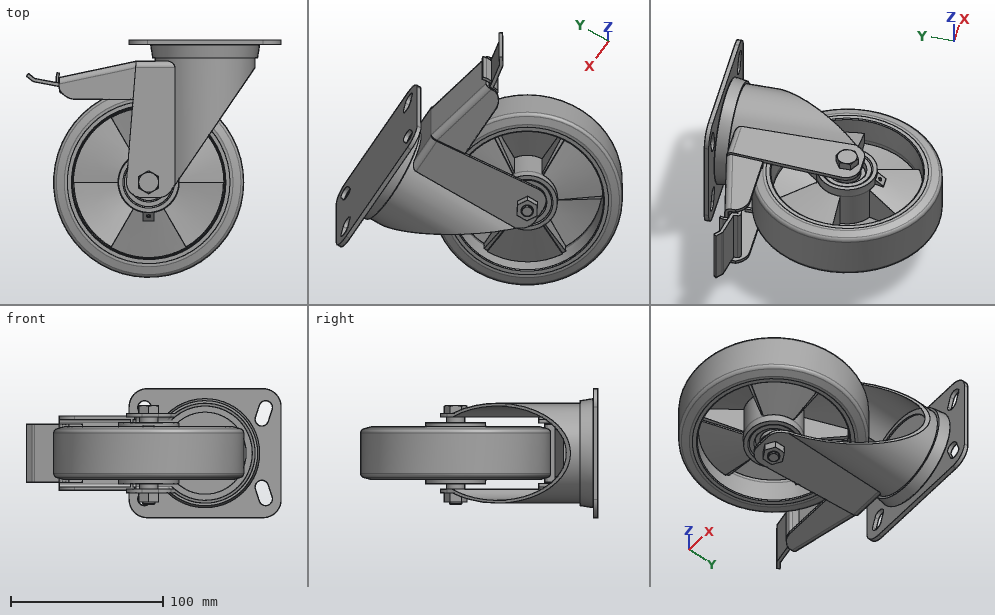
import cadquery as cq
import math


swivel_x = 37.11

plate_length = 100.0
plate_width = 85.0
plate_top = 93.5
plate_thickness = 3.0
plate_bottom = plate_top - plate_thickness
plate_corner = 12.0
slot_width = 8.7
slot_length = 17.0
slot_dx = 38.5
slot_dz = 26.1
slot_tilt = 18.0

cup_bottom = 81.8
cup_top = 90.1
cup_top_radius = 35.9
cup_bottom_radius = 34.5
cup_neck_radius = 34.9

column_radius = 32.8
column_bore = 62.0
ceiling_recess = 54.0
ceiling_recess_depth = 1.0
leg_outer = 26.1
leg_thickness = 2.5
leg_inner = leg_outer - leg_thickness
leg_top = 79.6
leg_bottom = -10.0
leg_corner = 10.0
sheet_bend = 4.2

cover_outer = 24.5
cover_thickness = 2.2
cover_bottom = 54.5
cover_tip_x = -58.8
cover_tip_y = 68.9
cover_corner = 11.7
cover_corner_length = 10.0
cover_corner_height = 7.2
leg_edge_top_x = -8.2
leg_edge_bottom_x = -15.4

pedal_half_width = 19.1
pedal_thickness = 2.3

tyre_radius = 62.5
wheel_half_width = 17.5
rim_radius = 53.5
rim_lip_radius = 50.8
rim_waist_radius = 49.1
rim_lip_bevel = 0.7
hub_half_width = 20.1
hub_radius = 20.1
disc_hub_near = 14.2
disc_rim_near = 5.7
disc_hub_far = 10.9
disc_rim_far = 2.8
sector_angle = 60.0
disc_overlap = 0.8
disc_inner_radius = hub_radius - disc_overlap
disc_outer_radius = rim_waist_radius + disc_overlap
sleeve_diameter = 12.0
sleeve_shoulder_diameter = 18.0
sleeve_shoulder_half_width = 20.0
bolt_diameter = 8.0
hex_flats = 13.0
head_height = 5.2
nut_height = 6.0
bolt_tip_length = 1.7
bolt_tip_chamfer = 0.7


def round_bar(diameter, z_low, z_high):
    """Cylinder on the wheel axle."""
    return cq.Workplane("XY").workplane(offset=z_low).circle(diameter / 2).extrude(z_high - z_low)


def turned(profile, angle=360):
    """Solid of revolution about the wheel axle, from (radius, z) points."""
    return cq.Workplane("XZ").polyline(profile).close().revolve(angle, (0, 0, 0), (0, 1, 0))


def swivel_disc(radius, y_low, y_high):
    """Cylinder on the swivel axis."""
    base = cq.Workplane("XZ", origin=(swivel_x, y_low, 0))
    return base.circle(radius).extrude(y_low - y_high)


def channel(length, depth, half_width, thickness):
    """Folded U-channel along +X, open downwards, with its top face on Y = 0."""
    outer = cq.Workplane("XY").box(length, depth, 2 * half_width).translate((length / 2, -depth / 2, 0))
    outer = outer.edges("|X and >Y").fillet(sheet_bend)
    gap = cq.Workplane("XY").box(length, depth, 2 * (half_width - thickness))
    gap = gap.translate((length / 2, -depth / 2 - thickness, 0))
    gap = gap.edges("|X and >Y").fillet(sheet_bend - thickness)
    return outer.cut(gap)


def bent_strip(centre_line, thickness, half_width):
    """Sheet of even thickness along an open centre line in XY, reaching half_width to both sides in Z."""
    directions = []
    for (x0, y0), (x1, y1) in zip(centre_line, centre_line[1:]):
        directions.append(math.atan2(y1 - y0, x1 - x0))
    before = [directions[0]] + directions
    after = directions + [directions[-1]]
    left_side = []
    right_side = []
    for (x, y), a, b in zip(centre_line, before, after):
        normal = (a + b) / 2 + math.pi / 2
        reach = thickness / 2 / math.cos((a - b) / 2)
        left_side.append((x + reach * math.cos(normal), y + reach * math.sin(normal)))
        right_side.append((x - reach * math.cos(normal), y - reach * math.sin(normal)))
    outline = cq.Workplane("XY").polyline(left_side + right_side[::-1]).close()
    return outline.extrude(half_width, both=True)


def make_plate():
    base = cq.Workplane("XZ", origin=(swivel_x, plate_bottom, 0))
    plate = base.rect(plate_length, plate_width).extrude(-plate_thickness)
    plate = plate.edges("|Y").fillet(plate_corner)
    for side_x in (-1, 1):
        for side_z in (-1, 1):
            tilt = 90 - side_x * side_z * slot_tilt
            slot = base.center(side_x * slot_dx, side_z * slot_dz)
            plate = plate.cut(slot.slot2D(slot_length, slot_width, tilt).extrude(-plate_thickness))
    return plate


def make_swivel_cup():
    profile = [
        (0, cup_bottom),
        (cup_bottom_radius, cup_bottom),
        (cup_top_radius, cup_top),
        (cup_neck_radius, cup_top),
        (cup_neck_radius, plate_bottom),
        (0, plate_bottom),
    ]
    cup = cq.Workplane("XY").polyline(profile).close().revolve(360, (0, 0, 0), (0, 1, 0))
    return cup.translate((swivel_x, 0, 0))


def make_fork():
    height = cup_bottom - leg_bottom
    legs = channel(swivel_x - leg_edge_bottom_x, leg_top - leg_bottom, leg_outer, leg_thickness)
    legs = legs.translate((leg_edge_bottom_x, leg_top, 0))
    column = swivel_disc(column_radius, leg_bottom, cup_bottom)

    ceiling = leg_top - leg_thickness
    bore = swivel_disc(column_bore / 2, leg_bottom, ceiling)
    recess = swivel_disc(ceiling_recess / 2, leg_bottom, ceiling + ceiling_recess_depth)
    passage = cq.Workplane("XY").box(swivel_x, height, 2 * leg_inner)
    passage = passage.edges("|X and >Y").fillet(sheet_bend - leg_thickness)
    passage = passage.translate((swivel_x / 2, ceiling - height / 2, 0))

    rear_x = swivel_x + column_radius
    rear_corner_y = 75.4
    leg_end_rear_x = 11.7
    side = cq.Workplane("XY").polyline([
        (leg_edge_top_x, cup_bottom),
        (leg_edge_top_x, leg_top),
        (leg_edge_bottom_x, leg_bottom),
        (leg_end_rear_x, leg_bottom),
        (rear_x, rear_corner_y),
        (rear_x, cup_bottom),
    ]).close().extrude(column_radius, both=True)
    side = side.edges("|Z and <Y").fillet(leg_corner)

    fork = legs.union(column).cut(bore).cut(recess).cut(passage).intersect(side)
    fork = fork.union(make_brake_cover())
    return fork.cut(round_bar(bolt_diameter, -leg_outer, leg_outer))


def make_brake_cover():
    blank_length = 67.0
    blank_depth = 33.5
    overrun = 5.0
    slope = math.degrees(math.atan2(leg_top - cover_tip_y, leg_edge_top_x - cover_tip_x))
    cover = channel(blank_length, blank_depth, cover_outer, cover_thickness).translate((-overrun, 0, 0))
    cover = cover.rotate((0, 0, 0), (0, 0, 1), slope).translate((cover_tip_x, cover_tip_y, 0))

    rear_bottom_x = -9.2
    side = cq.Workplane("XY").moveTo(cover_tip_x, leg_top).lineTo(leg_edge_top_x, leg_top)
    side = side.lineTo(rear_bottom_x, cover_bottom).lineTo(cover_tip_x + cover_corner_length, cover_bottom)
    side = side.radiusArc((cover_tip_x, cover_bottom + cover_corner_height), cover_corner).close()
    cover = cover.intersect(side.extrude(cover_outer, both=True))

    flange_width = 2.5
    flange_height = 11.7
    flange_thickness = 1.8
    flange_x = -11.0
    for side_z in (-1, 1):
        flange = cq.Workplane("XY").box(flange_thickness, flange_height, flange_width)
        flange_z = side_z * (cover_outer - cover_thickness - flange_width / 2)
        cover = cover.union(flange.translate((flange_x, cover_bottom + flange_height / 2, flange_z)))
    return cover


def make_pedal():
    tip = (-79.67, 70.62)
    elbow = (-75.4, 67.2)
    plate_end = (-57.6, 63.8)
    fold_front = (-57.3, 59.6)
    fold_back = (-53.8, 59.6)
    tongue_start = (-53.3, 66.2)
    tongue_step = (-43.7, 68.2)
    tongue_end = (-24.6, 72.0)
    tongue_half_width = 15.4
    elbow_radius = 3.7
    fold_radius = 1.8
    centre_line = [tip, elbow, plate_end, fold_front, fold_back, tongue_start, tongue_step]
    pedal = bent_strip(centre_line, pedal_thickness, pedal_half_width)
    pedal = pedal.edges(cq.selectors.NearestToPointSelector((elbow[0], elbow[1] - pedal_thickness, 0)))
    pedal = pedal.fillet(elbow_radius).edges("|Z and <Y").fillet(fold_radius)
    pedal = pedal.union(bent_strip([tongue_start, tongue_end], pedal_thickness, tongue_half_width))

    lip_foot = (-59.8, 64.2)
    lip_bend = (-59.8, 69.4)
    lip_top = (-59.3, 71.9)
    lip_thickness = 1.8
    lip_half_width = 16.1
    return pedal.union(bent_strip([lip_foot, lip_bend, lip_top], lip_thickness, lip_half_width))


def make_tyre():
    face_radius = 55.5
    shoulder_radius = 60.7
    shoulder_z = 16.0
    tread_z = 13.4
    shoulder_round = 3.0
    w = wheel_half_width
    tyre = cq.Workplane("XZ").moveTo(rim_radius, -w).lineTo(face_radius, -w)
    tyre = tyre.lineTo(shoulder_radius, -shoulder_z)
    tyre = tyre.radiusArc((tyre_radius, -tread_z), -shoulder_round).lineTo(tyre_radius, tread_z)
    tyre = tyre.radiusArc((shoulder_radius, shoulder_z), -shoulder_round)
    tyre = tyre.lineTo(face_radius, w).lineTo(rim_radius, w).close()
    return tyre.revolve(360, (0, 0, 0), (0, 1, 0))


def make_rim():
    w = wheel_half_width
    rim = turned([
        (rim_waist_radius, 0),
        (rim_lip_radius - rim_lip_bevel, rim_lip_bevel - w),
        (rim_lip_radius, -w),
        (rim_radius, -w),
        (rim_radius, w),
        (rim_lip_radius, w),
        (rim_lip_radius - rim_lip_bevel, w - rim_lip_bevel),
    ])
    rim = rim.union(make_hub())

    domed = make_disc_sector().union(make_sector_walls())
    dished = make_disc_sector().rotate((0, 0, 0), (1, 0, 0), 180)
    for pair in range(3):
        for sector in (domed, dished):
            rim = rim.union(sector.rotate((0, 0, 0), (0, 0, 1), 2 * sector_angle * pair))
    return rim.union(make_hub_lug())


def make_disc_sector():
    """One sixth of the wheel disc, from +X on, domed to +Z."""
    return turned([
        (disc_inner_radius, disc_hub_near),
        (disc_outer_radius, disc_rim_near),
        (disc_outer_radius, disc_rim_far),
        (disc_inner_radius, disc_hub_far),
    ], sector_angle)


def make_sector_walls():
    """Walls along both radial borders of a domed sector, down into the dished sectors beside it."""
    wall_angle = 3.0
    first_wall = turned([
        (disc_inner_radius, disc_hub_near),
        (disc_outer_radius, disc_rim_near),
        (disc_outer_radius, -(disc_rim_near + disc_rim_far) / 2),
        (disc_inner_radius, -(disc_hub_near + disc_hub_far) / 2),
    ], wall_angle)
    return first_wall.union(first_wall.rotate((0, 0, 0), (0, 0, 1), sector_angle - wall_angle))


def make_hub():
    face_radius = 19.8
    lip_radius = 17.0
    seat_radius = 32.0 / 2
    seat_z = 19.5
    recess_radius = 25.8 / 2
    recess_floor_radius = 24.0 / 2
    recess_floor_z = 16.0
    bore_radius = sleeve_shoulder_diameter / 2
    half = [
        (bore_radius, recess_floor_z),
        (recess_floor_radius, recess_floor_z),
        (recess_radius, seat_z),
        (seat_radius, seat_z),
        (lip_radius, hub_half_width),
        (face_radius, hub_half_width),
        (hub_radius, disc_hub_near),
    ]
    mirrored = [(radius, -z) for radius, z in reversed(half)]
    return turned(half + mirrored)


def make_hub_lug():
    """Small sloping lug on the hub, with a blind hole square to its slope."""
    lug_width = 7.4
    inner = (-19.3, 18.3)
    outer = (-25.3, 13.2)
    foot_z = 11.7
    hole_diameter = 2.5
    hole_depth = 1.3
    lug = cq.Workplane("YZ").polyline([inner, outer, (outer[0], foot_z), (inner[0], foot_z)]).close()
    lug = lug.extrude(lug_width / 2, both=True)
    rise = inner[1] - outer[1]
    run = inner[0] - outer[0]
    centre = (0, (inner[0] + outer[0]) / 2, (inner[1] + outer[1]) / 2)
    slope = cq.Workplane(cq.Plane(origin=centre, xDir=(1, 0, 0), normal=(0, -rise, run)))
    return lug.cut(slope.circle(hole_diameter / 2).extrude(-hole_depth))


def make_sleeve():
    sleeve = round_bar(sleeve_diameter, -leg_inner, leg_inner)
    shoulder = round_bar(sleeve_shoulder_diameter, -sleeve_shoulder_half_width, sleeve_shoulder_half_width)
    return sleeve.union(shoulder).cut(round_bar(bolt_diameter, -leg_inner, leg_inner))


def hexagon(z_low, height):
    corners = hex_flats / math.cos(math.pi / 6)
    prism = cq.Workplane("XY").workplane(offset=z_low).polygon(6, corners).extrude(height)
    return prism.rotate((0, 0, 0), (0, 0, 1), 90)


def make_bolt():
    head_top = leg_outer + head_height
    bevel_angle = math.radians(30)
    corner_radius = hex_flats / 2 / math.cos(math.pi / 6)
    bevel = turned([
        (0, leg_outer),
        (corner_radius, leg_outer),
        (corner_radius, head_top - (corner_radius - hex_flats / 2) * math.tan(bevel_angle)),
        (hex_flats / 2, head_top),
        (0, head_top),
    ])
    head = hexagon(leg_outer, head_height).intersect(bevel)
    shank = round_bar(bolt_diameter, -leg_outer - nut_height - bolt_tip_length, leg_outer)
    return head.union(shank.faces("<Z").chamfer(bolt_tip_chamfer))


def make_nut():
    nut_low = -leg_outer - nut_height
    return hexagon(nut_low, nut_height).cut(round_bar(bolt_diameter, nut_low, -leg_outer))


plate = make_plate()
swivel_cup = make_swivel_cup()
fork = make_fork()
pedal = make_pedal()
tyre = make_tyre()
rim = make_rim()
sleeve = make_sleeve()
bolt = make_bolt()
nut = make_nut()

result = cq.Compound.makeCompound([
    plate.val(),
    swivel_cup.val(),
    fork.val(),
    pedal.val(),
    tyre.val(),
    rim.val(),
    sleeve.val(),
    bolt.val(),
    nut.val(),
])